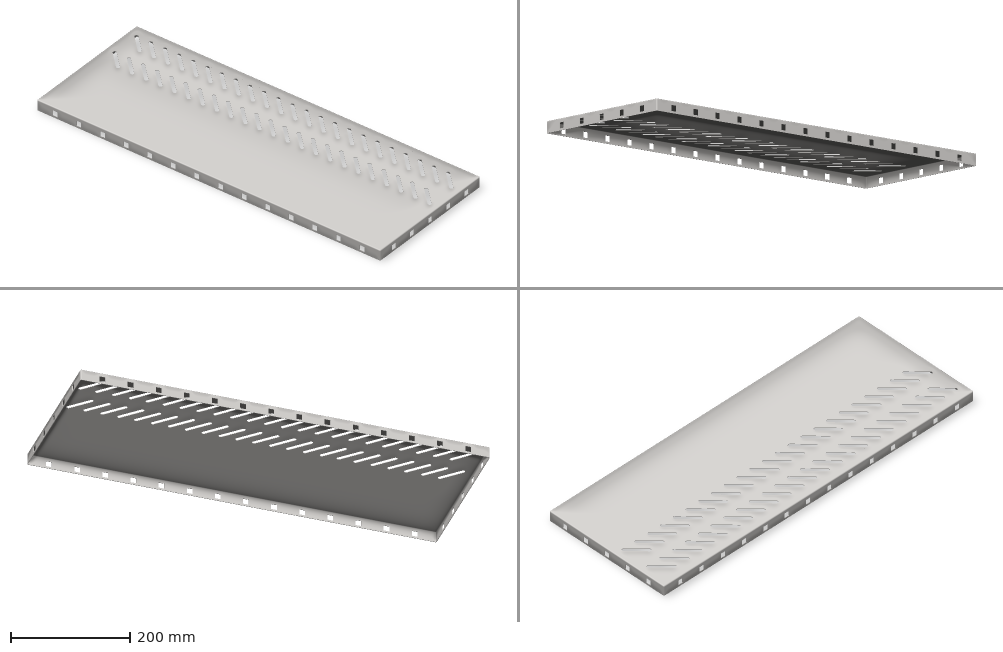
import cadquery as cq

LENGTH = 728.0
DEPTH = 275.0
HEIGHT = 21.0
SHEET = 1.0
BEND_RADIUS = 2.05
INNER_BEND_RADIUS = BEND_RADIUS - SHEET

HOLE_SIZE = 10.0
HOLE_CENTRE_Z = 9.0
LONG_WALL_HOLES = 14
SHORT_WALL_HOLES = 5
LONG_ROW_SPAN = 650.0
HOLE_PITCH = LONG_ROW_SPAN / (LONG_WALL_HOLES - 1)

SLOT_LENGTH = 50.0
SLOT_WIDTH = 6.9
SLOT_ANGLE = -45
SLOTS_PER_ROW = 23
SLOT_ROW_SPAN = 660.0
SLOT_PITCH = SLOT_ROW_SPAN / (SLOTS_PER_ROW - 1)
SLOT_ROW_SPACING = 2 * SLOT_PITCH
BACK_ROW_INSET = 40.0
BACK_ROW_Y = DEPTH / 2 - BACK_ROW_INSET
SLOT_ROWS_Y = (BACK_ROW_Y, BACK_ROW_Y - SLOT_ROW_SPACING)


def rounded_block(length, depth, height, radius):
    """Block standing on Z = 0 with rounded upright corners and top edges."""
    block = cq.Workplane("XY").box(length, depth, height, centered=(True, True, False))
    return block.edges("|Z").fillet(radius).faces(">Z").edges().fillet(radius)


def centred_positions(count, pitch):
    """Evenly spaced coordinates, symmetric about zero."""
    return [(i - (count - 1) / 2) * pitch for i in range(count)]


def folded_pan():
    """Top sheet with four walls folded down."""
    outside = rounded_block(LENGTH, DEPTH, HEIGHT, BEND_RADIUS)
    inside = rounded_block(LENGTH - 2 * SHEET, DEPTH - 2 * SHEET, HEIGHT - SHEET, INNER_BEND_RADIUS)
    return outside.cut(inside)


def wall_holes(plane, count, span):
    """Square bars that punch the holes through a pair of opposite walls."""
    points = [(p, HOLE_CENTRE_Z) for p in centred_positions(count, HOLE_PITCH)]
    return cq.Workplane(plane).pushPoints(points).rect(HOLE_SIZE, HOLE_SIZE).extrude(span, both=True)


def top_slots():
    """Both rows of slanted slots, tall enough to pass through the top sheet."""
    points = [(x, y) for y in SLOT_ROWS_Y for x in centred_positions(SLOTS_PER_ROW, SLOT_PITCH)]
    return (
        cq.Workplane("XY", origin=(0, 0, HEIGHT / 2))
        .pushPoints(points)
        .slot2D(SLOT_LENGTH, SLOT_WIDTH, SLOT_ANGLE)
        .extrude(HEIGHT)
    )


result = (
    folded_pan()
    .cut(wall_holes("XZ", LONG_WALL_HOLES, DEPTH))
    .cut(wall_holes("YZ", SHORT_WALL_HOLES, LENGTH))
    .cut(top_slots())
)